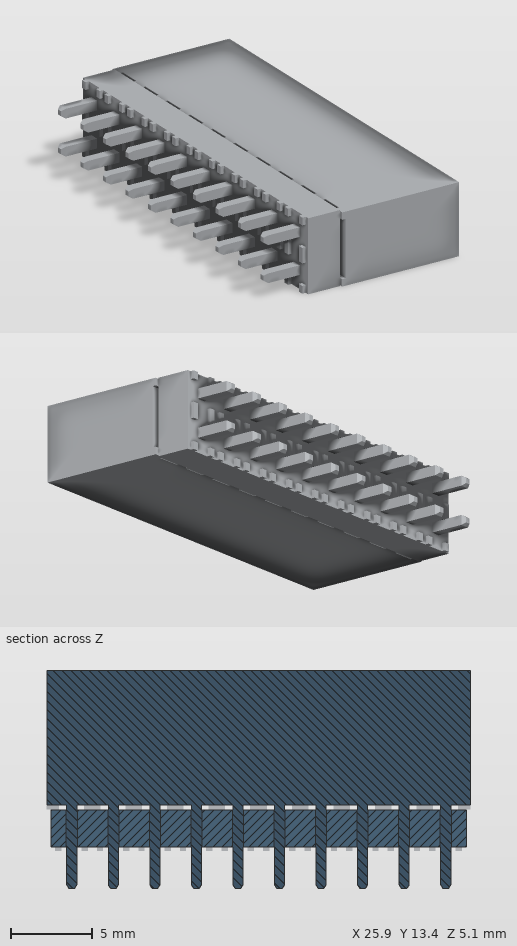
import cadquery as cq

PITCH = 2.55
COLUMNS = 10
ROWS = 2

SPACER_LENGTH = COLUMNS * PITCH
SPACER_HEIGHT = ROWS * PITCH
SPACER_DEPTH = 2.3

PIN_WIDTH = 0.65
PIN_REACH = 2.55
TIP_LENGTH = 0.251
TIP_WIDTH = 0.34

PAD_WIDTH = 0.4
PAD_HEIGHT = 0.52
PAD_DEPTH = 0.251
PAD_OFFSET = 0.8

SOCKET_LENGTH = 25.9
SOCKET_HEIGHT = 4.95
SOCKET_DEPTH = 8.5
FOOT_LENGTH = 0.251
FOOT_HEIGHT = 0.5
FOOT_GAP = 1.53

SPACER_FRONT = -SPACER_DEPTH
PIN_END = SPACER_FRONT - PIN_REACH
COLUMN_POSITIONS = [(i - (COLUMNS - 1) / 2) * PITCH for i in range(COLUMNS)]
ROW_POSITIONS = [(i - (ROWS - 1) / 2) * PITCH for i in range(ROWS)]


def block(length, height, front, back, x=0, z=0):
    """Box centred on (x, z) that runs along Y from front to back."""
    depth = back - front
    return cq.Workplane("XY").box(length, depth, height).translate((x, (front + back) / 2, z))


def make_pin():
    """Pin on the Y axis, from its tapered tip to the cut-back face of the socket."""
    tip_start = PIN_END + TIP_LENGTH
    shank = block(PIN_WIDTH, PIN_WIDTH, tip_start, FOOT_LENGTH)
    tip = (
        cq.Workplane("XZ", origin=(0, tip_start, 0))
        .rect(PIN_WIDTH, PIN_WIDTH)
        .workplane(offset=TIP_LENGTH)
        .rect(TIP_WIDTH, TIP_WIDTH)
        .loft(ruled=True)
    )
    return shank.union(tip)


def make_pads(x):
    """Pads beside one pin column: double-height ones between the rows, single ones at the edges."""
    edge_z = (SPACER_HEIGHT - PAD_HEIGHT) / 2
    pad_front = SPACER_FRONT - PAD_DEPTH
    pads = []
    for pad_x in (x - PAD_OFFSET, x + PAD_OFFSET):
        pads.append(block(PAD_WIDTH, 2 * PAD_HEIGHT, pad_front, SPACER_FRONT, pad_x))
        for pad_z in (-edge_z, edge_z):
            pads.append(block(PAD_WIDTH, PAD_HEIGHT, pad_front, SPACER_FRONT, pad_x, pad_z))
    return pads


def make_spacer():
    """Strip with its pads and a square through hole for every pin."""
    spacer = block(SPACER_LENGTH, SPACER_HEIGHT, SPACER_FRONT, 0)
    for x in COLUMN_POSITIONS:
        for pad in make_pads(x):
            spacer = spacer.union(pad)
        for z in ROW_POSITIONS:
            spacer = spacer.cut(block(PIN_WIDTH, PIN_WIDTH, SPACER_FRONT, 0, x, z))
    return spacer


def make_socket():
    """Block whose front is cut back between the feet, with the pins standing on the cut-back face."""
    socket = block(SOCKET_LENGTH, SOCKET_HEIGHT, 0, SOCKET_DEPTH)
    channel_height = SOCKET_HEIGHT - 2 * FOOT_HEIGHT
    socket = socket.cut(block(SOCKET_LENGTH, channel_height, 0, FOOT_LENGTH))
    pin = make_pin()
    for x in COLUMN_POSITIONS:
        socket = socket.cut(block(FOOT_GAP, SOCKET_HEIGHT, 0, FOOT_LENGTH, x))
        for z in ROW_POSITIONS:
            socket = socket.union(pin.translate((x, 0, z)))
    return socket


spacer = make_spacer()
socket = make_socket()

result = cq.Compound.makeCompound([spacer.val(), socket.val()])